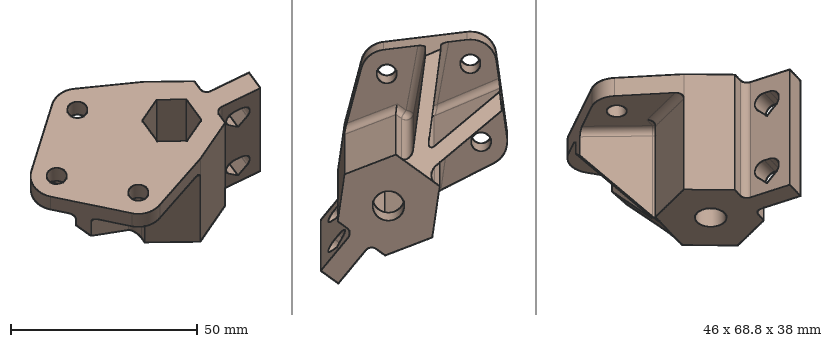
import cadquery as cq
import math

overall_length = 68.85
height = 38.0
plate_thickness = 6.0
plate_bottom = height - plate_thickness
corner_radius = 7.0
bolt_diameter = 5.4
bolt_spacing = 16.0
front_bolt_y = -35.95
side_bolt_y = front_bolt_y + bolt_spacing
bolt_places = [(-bolt_spacing, side_bolt_y), (0, front_bolt_y), (bolt_spacing, side_bolt_y)]

nut_flat_radius = 6.9
body_wall = 6.0
body_flat_radius = nut_flat_radius + body_wall
body_corner_radius = body_flat_radius / math.cos(math.pi / 6)
nut_corner_radius = nut_flat_radius / math.cos(math.pi / 6)
body_back_y = 11.85
bore_diameter = 8.5
bore_floor = 6.0

tab_thickness = 6.0
tab_end_y = front_bolt_y - corner_radius + overall_length
tab_hole_y = 18.85
tab_hole_heights = (7.85, 30.0)
tab_hole_radius = 2.9
tab_hole_center_gap = 1.6

rib_thickness = 4.0
rib_angle = 28
rib_length = 41.3
slope_angle = 49.8
fillet_radius = 2.0
crotch_radius = fillet_radius / 2


def hexagon(corner_radius, bottom, top):
    """Vertical hexagonal prism with corners on the X axis."""
    return (cq.Workplane("XY").workplane(offset=bottom)
            .polygon(6, 2 * corner_radius).extrude(top - bottom))


def plate_outline():
    """Full-height prism of the plate: straight sides tangent to round bolt corners."""
    dx = body_corner_radius - bolt_spacing
    distance = math.hypot(dx, side_bolt_y)
    tangent_angle = math.atan2(-side_bolt_y, dx) - math.acos(corner_radius / distance)
    side_x = bolt_spacing + corner_radius * math.cos(tangent_angle)
    side_y = side_bolt_y + corner_radius * math.sin(tangent_angle)
    diagonal = corner_radius * math.sqrt(0.5)
    back_x = body_corner_radius - body_back_y / math.tan(math.pi / 3)
    return (cq.Workplane("XY")
            .moveTo(-back_x, body_back_y)
            .lineTo(back_x, body_back_y)
            .lineTo(body_corner_radius, 0)
            .lineTo(side_x, side_y)
            .threePointArc((bolt_spacing + corner_radius, side_bolt_y),
                           (bolt_spacing + diagonal, side_bolt_y - diagonal))
            .lineTo(diagonal, front_bolt_y - diagonal)
            .threePointArc((0, front_bolt_y - corner_radius), (-diagonal, front_bolt_y - diagonal))
            .lineTo(-bolt_spacing - diagonal, side_bolt_y - diagonal)
            .threePointArc((-bolt_spacing - corner_radius, side_bolt_y), (-side_x, side_y))
            .lineTo(-body_corner_radius, 0)
            .close().extrude(height))


def rib(angle):
    """Upright rib starting under the front face of the body."""
    return (cq.Workplane("XY").rect(rib_thickness, rib_length).extrude(plate_bottom)
            .translate((0, -rib_length / 2, 0))
            .rotate((0, 0, 0), (0, 0, 1), angle)
            .translate((0, -body_flat_radius, 0)))


def vertical_edge(x, y):
    """Selector for the vertical edge of the ribbed body at the given plan position."""
    return cq.selectors.NearestToPointSelector((x, y, plate_bottom / 2))


def ribbed_body():
    """Hexagonal body with its two ribs and their rounded roots."""
    body = hexagon(body_corner_radius, 0, plate_bottom)
    body = body.union(rib(rib_angle)).union(rib(-rib_angle))
    half_rib = rib_thickness / 2
    crotch_y = -body_flat_radius - half_rib / math.sin(math.radians(rib_angle))
    root_x = half_rib / math.cos(math.radians(rib_angle))
    body = body.edges(vertical_edge(0, crotch_y)).fillet(crotch_radius)
    for x in (-root_x, root_x):
        body = body.edges(vertical_edge(x, -body_flat_radius)).fillet(fillet_radius)
    return body


def bracket():
    """Ribbed body blended into an oversize plate, then trimmed to the plate outline."""
    oversize = 4 * rib_length
    plate = (cq.Workplane("XY").workplane(offset=plate_bottom)
             .rect(oversize, oversize).extrude(plate_thickness))
    blank = plate.union(ribbed_body())
    underside = blank.faces("|Z").faces(">Z[-2]").val()
    junction = underside.innerWires()[0].Edges()
    return blank.newObject(junction).fillet(fillet_radius).intersect(plate_outline())


def below_slope():
    """Wedge to remove below the sloping underside of the ribs."""
    slope_run = plate_bottom / math.tan(math.radians(slope_angle))
    front_y = -body_flat_radius - rib_length
    return (cq.Workplane("YZ")
            .moveTo(-body_flat_radius, 0)
            .lineTo(-body_flat_radius - slope_run, plate_bottom)
            .lineTo(front_y, plate_bottom)
            .lineTo(front_y, 0)
            .close().extrude(rib_length, both=True))


def nut_pocket():
    """Hexagonal pocket open at the top, tapering at 45 degrees into a round bore."""
    bore_radius = bore_diameter / 2
    cone_height = nut_corner_radius - bore_radius
    cone = cq.Workplane("XY").add(cq.Solid.makeCone(
        bore_radius, nut_corner_radius, cone_height, cq.Vector(0, 0, bore_floor)))
    shaft = hexagon(nut_corner_radius, bore_floor + cone_height, height)
    taper = cone.intersect(hexagon(nut_corner_radius, bore_floor, height))
    bore = cq.Workplane("XY").circle(bore_radius).extrude(height)
    return shaft.union(taper).union(bore)


def tab_hole(z):
    """Cross hole with round upper corners and a right-angled point at the bottom."""
    half_gap = tab_hole_center_gap / 2
    diagonal = tab_hole_radius * math.sqrt(0.5)
    tangent_y = half_gap + diagonal
    return (cq.Workplane("YZ", origin=(0, tab_hole_y, z))
            .moveTo(0, -diagonal - tangent_y)
            .lineTo(tangent_y, -diagonal)
            .threePointArc((tangent_y, diagonal), (half_gap, tab_hole_radius))
            .lineTo(-half_gap, tab_hole_radius)
            .threePointArc((-tangent_y, diagonal), (-tangent_y, -diagonal))
            .close().extrude(tab_thickness, both=True))


tab = (cq.Workplane("XY").center(0, tab_end_y / 2)
       .rect(tab_thickness, tab_end_y).extrude(height))
bolt_holes = (cq.Workplane("XY").workplane(offset=plate_bottom).pushPoints(bolt_places)
              .circle(bolt_diameter / 2).extrude(plate_thickness))

result = bracket().cut(below_slope()).union(tab)
for side in (-1, 1):
    tab_root = vertical_edge(side * tab_thickness / 2, body_back_y)
    result = result.edges("|Z").edges(tab_root).fillet(fillet_radius)
result = result.cut(nut_pocket()).cut(bolt_holes)
for hole_height in tab_hole_heights:
    result = result.cut(tab_hole(hole_height))